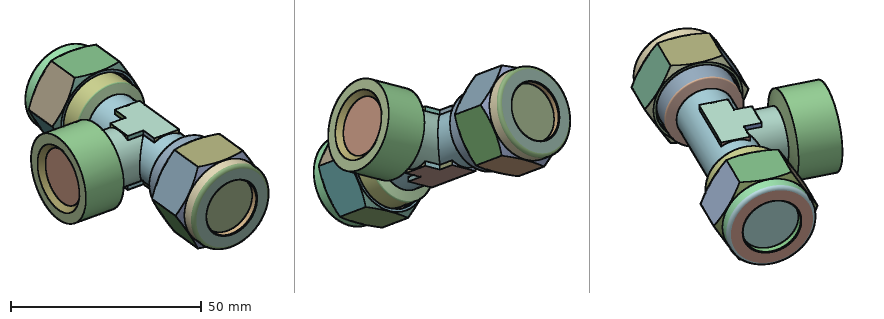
import math

import cadquery as cq

run_half_length = 38.5
body_radius = 8.0

shoulder_taper_angle = 15.0

hex_across_flats = 25.0
hex_corner_radius = hex_across_flats / math.sqrt(3)
hex_outer_end = 34.5
hex_inner_end = 21.5
hex_chamfer_angle = 30.0
nut_rim_radius = 12.4
nut_rim_fillet = 1.0

tube_bore_radius = 8.0
tube_bore_depth = 2.0
tube_bore_chamfer = 0.2

nut_recess_radius = 11.6
nut_recess_depth = 1.5

collar_radius = 11.0
collar_inner_end = 15.6
collar_edge_fillet = 0.4

branch_length = 28.5
socket_radius = 12.5
socket_length = 12.2
socket_mouth_radius = 9.5
socket_floor_radius = 8.0
socket_depth = 1.5

pad_length = 18.0
pad_width = 8.0
pad_stem_end = 9.0
pad_height = 8.25


def revolve_about_x(profile):
    """Turn a closed (distance along X, radius) profile about the X axis."""
    return cq.Workplane("XY").polyline(profile).close().revolve(360, (0, 0, 0), (1, 0, 0))


def make_tee_body():
    run = cq.Workplane("YZ").circle(body_radius).extrude(collar_inner_end, both=True)
    branch = cq.Workplane("XZ").circle(body_radius).extrude(branch_length - socket_length)
    return run.union(branch)


def shoulder_taper_length(radius):
    """Axial length of a shoulder rising from the body to the given radius."""
    return (radius - body_radius) * math.tan(math.radians(shoulder_taper_angle))


def make_collar():
    """Collar with a tapered, rounded shoulder, reaching into the nut recess."""
    shoulder = collar_inner_end + shoulder_taper_length(collar_radius)
    outer_end = hex_inner_end + nut_recess_depth
    collar = revolve_about_x([
        (collar_inner_end, 0),
        (collar_inner_end, body_radius),
        (shoulder, collar_radius),
        (outer_end, collar_radius),
        (outer_end, 0),
    ])
    shoulder_edge = cq.selectors.BoxSelector(
        (shoulder - collar_edge_fillet, -collar_radius, -collar_radius),
        (shoulder + collar_edge_fillet, collar_radius, collar_radius),
    )
    return collar.edges(shoulder_edge).edges("%CIRCLE").fillet(collar_edge_fillet)


def make_hex():
    """Hexagon with corners towards +Y and -Y, its corners turned off at both ends.

    The inner face is recessed around the collar.
    """
    prism = (
        cq.Workplane("YZ", origin=(hex_inner_end, 0, 0))
        .polygon(6, 2 * hex_corner_radius)
        .extrude(hex_outer_end - hex_inner_end)
    )
    chamfer_length = (hex_corner_radius - nut_rim_radius) * math.tan(math.radians(hex_chamfer_angle))
    turned_envelope = revolve_about_x([
        (hex_inner_end, 0),
        (hex_inner_end, nut_rim_radius),
        (hex_inner_end + chamfer_length, hex_corner_radius),
        (hex_outer_end - chamfer_length, hex_corner_radius),
        (hex_outer_end, nut_rim_radius),
        (hex_outer_end, 0),
    ])
    recess = (
        cq.Workplane("YZ", origin=(hex_inner_end, 0, 0))
        .circle(nut_recess_radius)
        .extrude(nut_recess_depth)
    )
    return prism.intersect(turned_envelope).cut(recess)


def make_nut_rim():
    return (
        cq.Workplane("YZ", origin=(hex_outer_end, 0, 0))
        .circle(nut_rim_radius)
        .extrude(run_half_length - hex_outer_end)
        .faces(">X")
        .edges()
        .fillet(nut_rim_fillet)
    )


def make_end_fitting():
    """Collar and nut on the +X end, with the shallow tube recess."""
    bore_floor = run_half_length - tube_bore_depth
    recess = revolve_about_x([
        (bore_floor, 0),
        (bore_floor, tube_bore_radius),
        (run_half_length - tube_bore_chamfer, tube_bore_radius),
        (run_half_length, tube_bore_radius + tube_bore_chamfer),
        (run_half_length, 0),
    ])
    return make_collar().union(make_hex()).union(make_nut_rim()).cut(recess)


def make_socket():
    """Turned socket on the branch, with a tapered shoulder and a conical recess."""
    shoulder = branch_length - socket_length
    neck_end = shoulder - shoulder_taper_length(socket_radius)
    profile = [
        (0, -neck_end),
        (body_radius, -neck_end),
        (socket_radius, -shoulder),
        (socket_radius, -branch_length),
        (socket_mouth_radius, -branch_length),
        (socket_floor_radius, -branch_length + socket_depth),
        (0, -branch_length + socket_depth),
    ]
    return cq.Workplane("XY").polyline(profile).close().revolve(360, (0, 0, 0), (0, 1, 0))


def make_pads():
    """T-shaped block whose two ends stand out as flats above and below the body."""
    bar = cq.Workplane("XY").box(pad_length, pad_width, 2 * pad_height)
    stem = cq.Workplane("XY").box(pad_width, pad_stem_end, 2 * pad_height)
    return bar.union(stem.translate((0, -pad_stem_end / 2, 0)))


end_fitting = make_end_fitting()
result = (
    make_tee_body()
    .union(end_fitting)
    .union(end_fitting.mirror("YZ"))
    .union(make_socket())
    .union(make_pads())
)